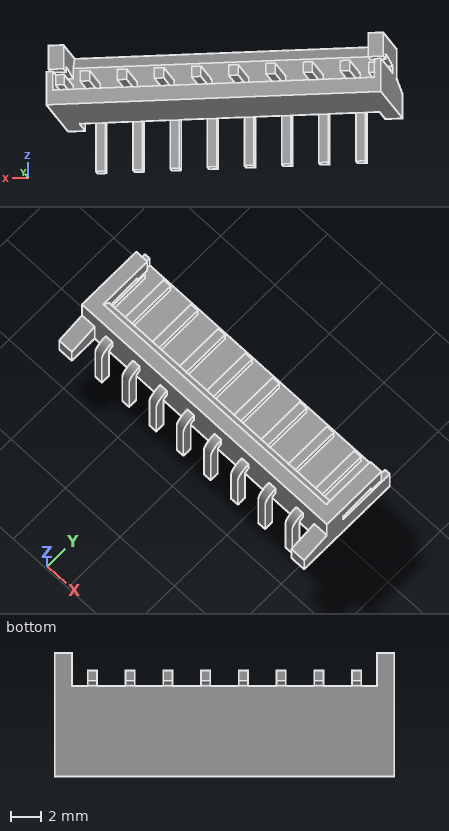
import cadquery as cq

length = 22.5
height = 4.2
depth = 6.0
floor_height = 1.0
end_wall = 1.01
front_wall = 1.0

lead_in_width = 0.56
lead_in_depth = 0.79

foot_reach = 2.18
foot_width = 1.17
foot_back_height = 2.2
foot_tip_height = 1.65

slot_bottom = 2.25
slot_front = front_wall + lead_in_width
slot_front_top = 2.72
slot_top = 2.92
slope_end = 3.55
hook_front = 4.2
hook_bottom = 2.59
arm_end = 5.2
lip_thickness = 0.45
rail_bottom = 1.55
rail_end = 5.0

pin_count = 8
pin_pitch = 2.5
pin_width = 0.63
pin_thickness = 0.7
pin_top = 2.32
pin_end = 5.54
pin_reach = 1.04
pin_drop = 3.2
bend_radius = 1.05


def extrude_side_profile(points, x_start, width):
    """Extrude a closed (y, z) outline along +X from x_start."""
    return cq.Workplane("YZ", origin=(x_start, 0, 0)).polyline(points).close().extrude(width)


def make_shell():
    """Floor and front wall, with the lead-in slope along the wall's inner edge."""
    profile = [
        (0, 0),
        (depth, 0),
        (depth, floor_height),
        (slot_front, floor_height),
        (slot_front, height - lead_in_depth),
        (front_wall, height),
        (0, height),
    ]
    return extrude_side_profile(profile, -length / 2, length)


def make_left_end():
    """End wall with its hooked arm above the slot, rail and thin lip below it, and foot."""
    wall_profile = [
        (0, 0),
        (slot_front, 0),
        (slot_front, slot_front_top),
        (slope_end, slot_top),
        (hook_front, slot_top),
        (hook_front, hook_bottom),
        (arm_end, hook_bottom),
        (arm_end, height),
        (0, height),
    ]
    rail_profile = [
        (0, rail_bottom),
        (rail_end, rail_bottom),
        (rail_end, slot_bottom),
        (0, slot_bottom),
    ]
    lip_profile = [(0, 0), (depth, 0), (depth, slot_bottom), (0, slot_bottom)]
    foot_profile = [
        (0, 0),
        (0, foot_back_height),
        (-foot_reach, foot_tip_height),
        (-foot_reach, 0),
    ]
    wall = extrude_side_profile(wall_profile, -length / 2, end_wall)
    rail = extrude_side_profile(rail_profile, -length / 2, end_wall)
    lip = extrude_side_profile(lip_profile, -length / 2, lip_thickness)
    foot = extrude_side_profile(foot_profile, -length / 2, foot_width)
    return wall.union(rail).union(lip).union(foot)


def make_pin(x_center):
    """Pin running above the floor, through the front wall and bent down in front of it."""
    pin_bottom = pin_top - pin_thickness
    inner_radius = bend_radius - pin_thickness
    bend_y = bend_radius - pin_reach
    bend_z = pin_top - bend_radius
    return (
        cq.Workplane("YZ", origin=(x_center - pin_width / 2, 0, 0))
        .moveTo(pin_end, pin_top)
        .lineTo(bend_y, pin_top)
        .radiusArc((-pin_reach, bend_z), -bend_radius)
        .lineTo(-pin_reach, -pin_drop)
        .lineTo(-pin_reach + pin_thickness, -pin_drop)
        .lineTo(-pin_reach + pin_thickness, bend_z)
        .radiusArc((bend_y, pin_bottom), inner_radius)
        .lineTo(pin_end, pin_bottom)
        .close()
        .extrude(pin_width)
    )


left_end = make_left_end()
result = make_shell().union(left_end).union(left_end.mirror("YZ"))
for index in range(pin_count):
    result = result.union(make_pin((index - (pin_count - 1) / 2) * pin_pitch))